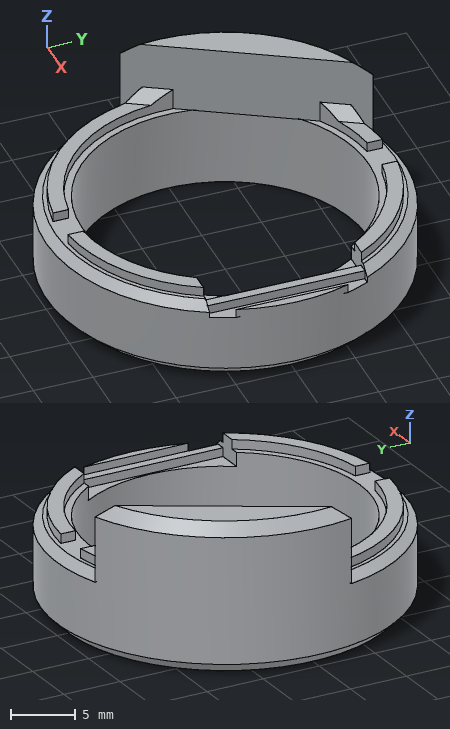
import cadquery as cq

outer_radius = 15.0
bore_radius = 12.0
ring_height = 7.0
bottom_chamfer = 1.0
top_chamfer = 0.75
shoulder_height = ring_height - top_chamfer

rail_inner_radius = 12.6
rail_outer_radius = 13.9
rail_top = 7.8
rail_gap = 3.18

total_height = 12.8
tower_chamfer = 1.0
tower_angle = 150.0
chord_distance = 11.2
ramp_size = 1.0

notch_width = 13.2
notch_floor = 5.8
rib_top = 6.55
rib_inner_x = 12.15
rib_outer_x = 12.95
lip_inner_x = 14.25


def cylinder(radius, bottom, top):
    return cq.Workplane("XY").workplane(offset=bottom).circle(radius).extrude(top - bottom)


def tube(outer, inner, bottom, top):
    return cylinder(outer, bottom, top).cut(cylinder(inner, bottom, top))


def block(x_start, x_end, width, bottom, top):
    """Box centred on Y, given by its X and Z limits."""
    return cq.Workplane("XY").box(
        x_end - x_start, width, top - bottom, centered=(False, True, False)
    ).translate((x_start, 0, bottom))


def turn_to_tower(body):
    """Turn a body built facing +X to the direction of the tower."""
    return body.rotate((0, 0, 0), (0, 0, 1), tower_angle)


def make_ring():
    body = cylinder(outer_radius, 0, ring_height)
    body = body.faces("<Z").chamfer(bottom_chamfer)
    body = body.faces(">Z").chamfer(top_chamfer)
    return body.cut(cylinder(bore_radius, 0, ring_height))


def make_rail():
    rail = tube(rail_outer_radius, rail_inner_radius, shoulder_height, rail_top)
    gap = block(-rail_gap / 2, rail_gap / 2, 2 * outer_radius, ring_height, rail_top)
    return rail.cut(gap)


def make_tower():
    disc = cylinder(outer_radius, shoulder_height, total_height).faces(">Z").chamfer(tower_chamfer)
    beyond_chord = block(chord_distance, outer_radius, 2 * outer_radius, shoulder_height, total_height)
    tower = disc.intersect(turn_to_tower(beyond_chord))
    return tower.cut(cylinder(bore_radius, shoulder_height, ring_height))


def make_ramps():
    """45 degree ramps where the rail runs into the tower."""
    wedge = (
        cq.Workplane("XZ")
        .moveTo(chord_distance, rail_top)
        .lineTo(chord_distance - ramp_size, rail_top)
        .lineTo(chord_distance, rail_top + ramp_size)
        .close()
        .extrude(outer_radius, both=True)
    )
    rail_zone = tube(rail_outer_radius, rail_inner_radius, rail_top, rail_top + ramp_size)
    return turn_to_tower(wedge).intersect(rail_zone)


def make_notch():
    return block(0, outer_radius, notch_width, notch_floor, rail_top)


def make_rib_and_lip():
    rib = block(rib_inner_x, rib_outer_x, notch_width, notch_floor, rib_top)
    lip = block(lip_inner_x, outer_radius, notch_width, notch_floor, rib_top)
    return rib.union(lip).intersect(cylinder(outer_radius, notch_floor, rib_top))


result = (
    make_ring()
    .union(make_rail())
    .cut(make_notch())
    .union(make_rib_and_lip())
    .union(make_tower())
    .union(make_ramps())
)